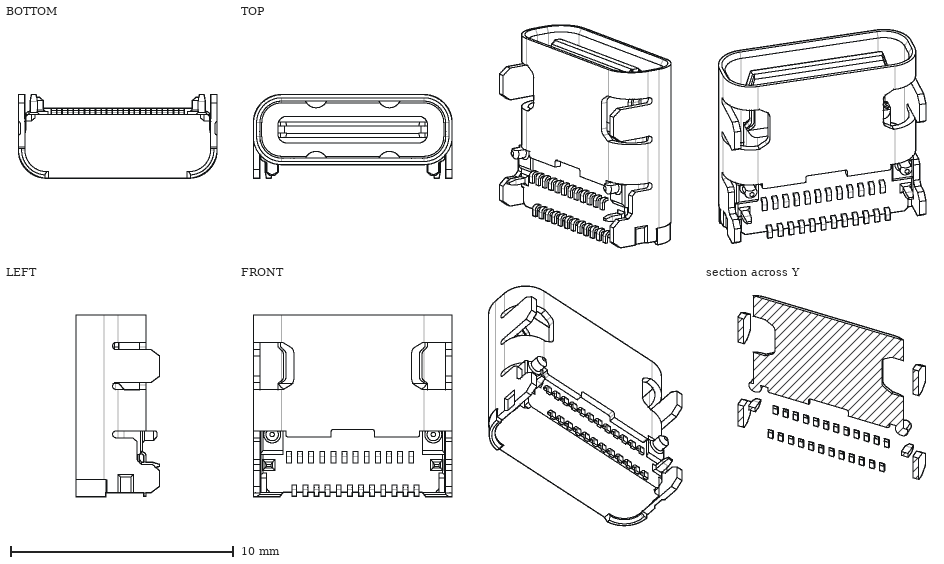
import cadquery as cq
import math

shell_width = 8.94
shell_depth = 3.16
shell_height = 8.17
wall = 0.30
corner_radius = 1.27
mouth_chamfer_width = 0.15
mouth_chamfer_height = 0.25
back_lip_chamfer_height = 0.11

half_width = shell_width / 2
half_depth = shell_depth / 2
inner_half_depth = half_depth - wall
inner_half_width = half_width - wall
foot_tip_y = -2.19

slot_height = 0.31
slot_radius = slot_height / 2
slot_end_y = -0.075
slot_center_y = slot_end_y - slot_radius

upper_foot_bottom = 5.13
upper_foot_top = 6.62
foot_chamfer_y = 0.39
foot_chamfer_z = 0.29
window_bottom = upper_foot_bottom - slot_height
window_top = upper_foot_top + slot_height
window_inner_x = 2.65
window_slant_x = 0.48
window_slant_z = 0.29
window_corner_radius = 0.30

side_bottom = 0.18
tube_end = 2.96
lower_foot_top = tube_end - slot_height
front_panel_half_width = 3.0
front_panel_bottom = 2.69
front_panel_radius = 0.10
front_notch_half_width = 0.97
front_notch_top = 3.03
back_gap_half_width = 3.28
back_gap_slant = 0.16
seam_y = 0.23
seam_width = 0.06
seam_top = 0.75
back_foot_top = 0.78
dimple_center_y = -0.665
dimple_width = 0.68
dimple_top = 1.0
dimple_slope = 0.11
dimple_depth = 0.10

housing_bottom = 0.20
housing_half_width = 4.13
floor_z = 3.5
floor_chamfer = 0.08
floor_notch_x = 1.65
floor_notch_radius = 0.52
floor_notch_y = 1.50
floor_notch_depth = 0.20
housing_corner_chamfer = 0.16
corner_step_x = 3.88
corner_step_y = -1.0
corner_step_top = 1.06
corner_step_slope = 0.21

pad_inner_x = 3.14
pad_y = -1.42
pad_bottom = 1.89
pad_slope = 0.18
front_edge_chamfer = 0.09
peg_x = 3.62
peg_z = 2.80
peg_root_radius = 0.38
peg_radius = 0.28
peg_tip_radius = 0.10
peg_root_length = 0.08
peg_tip_length = 0.16
peg_tip_y = -2.07
key_x = 3.775
key_z = 1.43
key_root_size = (0.55, 0.48)
key_size = (0.33, 0.25)
key_tip_size = (0.22, 0.10)
key_tip_drop = 0.02
key_root_length = 0.10
key_tip_length = 0.31

tongue_tip_z = 7.92
tongue_half_thickness = 0.35
tongue_tip_half_thickness = 0.17
tongue_tip_chamfer_height = 0.15
tongue_tip_half_width = 2.97
tongue_half_width = 3.24
tongue_shoulder_z = 6.95
latch_depth = 0.25
latch_top = 6.74
latch_bottom = 5.10
plate_half_thickness = 0.16
plate_overhang = 0.12
plate_tip_overhang = 0.09
latch_radius = 0.25
latch_lower_slope = 0.18
base_half_width = 3.36
base_half_thickness = 0.60
base_corner_radius = 0.40
base_top = 5.10
base_chamfer_height = 0.28

pin_count = 12
pin_pitch = 0.5
pin_width = 0.22
pin_thickness = 0.11
pin_bend_radius = 0.21
pin_length = 0.505
pin_row_shift = 0.12
upper_pin_top = 2.03
lower_pin_top = 0.53


def box(x0, x1, y0, y1, z0, z1):
    """Box given by its limits along each axis."""
    return cq.Workplane("XY").box(x1 - x0, y1 - y0, z1 - z0, centered=False).translate((x0, y0, z0))


def both_sides(body):
    """The body together with its mirror image across X = 0."""
    return body.union(body.mirror("YZ"))


def rounded_prism(inset, bottom, top):
    """Upright prism with the tube's outline moved inward by an inset."""
    prism = cq.Workplane("XY").workplane(offset=bottom)
    prism = prism.rect(shell_width - 2 * inset, shell_depth - 2 * inset).extrude(top - bottom)
    return prism.edges("|Z").fillet(corner_radius - inset)


def lead_in(end_z, height):
    """Sloped ring removed from the inside of one end of the tube; height is negative at the top end."""
    tilt = math.degrees(math.atan2(mouth_chamfer_width, abs(height)))
    inset = wall - mouth_chamfer_width
    outline = cq.Sketch().rect(shell_width - 2 * inset, shell_depth - 2 * inset)
    outline = outline.vertices().fillet(corner_radius - inset)
    end_plane = cq.Workplane("XY").workplane(offset=end_z)
    return end_plane.placeSketch(outline).extrude(height, taper=tilt)


def slot_end(bottom):
    """Round inner end of a relief slot in the left and right walls."""
    center = (slot_center_y, bottom + slot_radius)
    cutter = cq.Workplane("YZ").workplane(offset=-half_width).center(*center)
    return both_sides(cutter.circle(slot_radius).extrude(wall))


def foot_window():
    """Opening in the front corner of the tube from which the upper foot is bent."""
    outer_x = window_inner_x + window_slant_x
    beyond_x = half_width + wall
    outline = [
        (beyond_x, window_bottom),
        (outer_x, window_bottom),
        (window_inner_x, window_bottom + window_slant_z),
        (window_inner_x, window_top - window_slant_z),
        (outer_x, window_top),
        (beyond_x, window_top),
    ]
    cutter = cq.Workplane("XZ").workplane(offset=-slot_center_y).polyline(outline).close()
    cutter = cutter.extrude(half_depth + slot_center_y + wall)
    cutter = cutter.edges("|Y and <X").fillet(window_corner_radius)
    return both_sides(cutter)


def foot(outline):
    """Pair of flat feet in the planes of the side walls, from a Y-Z outline."""
    plate = cq.Workplane("YZ").workplane(offset=-half_width).polyline(outline).close().extrude(wall)
    return both_sides(plate)


def upper_feet():
    shoulder_y = foot_tip_y + foot_chamfer_y
    return foot([
        (0, upper_foot_bottom),
        (shoulder_y, upper_foot_bottom),
        (foot_tip_y, upper_foot_bottom + foot_chamfer_z),
        (foot_tip_y, upper_foot_top - foot_chamfer_z),
        (shoulder_y, upper_foot_top),
        (0, upper_foot_top),
    ])


def lower_feet():
    waist_y = -1.165
    waist_chamfer_y = 0.185
    waist_chamfer_z = 0.16
    ledge_z = 1.46
    ledge_inner_y = -1.365
    ledge_chamfer = 0.21
    ledge_outer_y = -1.855
    tip_top = 1.175
    shoulder_y = foot_tip_y + foot_chamfer_y
    return foot([
        (0, side_bottom),
        (shoulder_y, side_bottom),
        (foot_tip_y, side_bottom + foot_chamfer_z),
        (foot_tip_y, tip_top),
        (ledge_outer_y, ledge_z),
        (ledge_inner_y, ledge_z),
        (waist_y, ledge_z + ledge_chamfer),
        (waist_y, lower_foot_top - waist_chamfer_z),
        (waist_y + waist_chamfer_y, lower_foot_top),
        (0, lower_foot_top),
    ])


def front_panel():
    """Lower edge of the front wall, with a raised notch in its middle."""
    panel = box(-front_panel_half_width, front_panel_half_width, -half_depth, -inner_half_depth,
                front_panel_bottom, tube_end)
    return panel.edges("|Y and <Z").fillet(front_panel_radius)


def front_notch():
    notch = box(-front_notch_half_width, front_notch_half_width, -half_depth, -inner_half_depth,
                front_panel_bottom, front_notch_top)
    return notch.edges("|Y and >Z").fillet(front_panel_radius)


def back_gap():
    """Gap that leaves only the two back corners of the tube reaching Z = 0."""
    top_half_width = back_gap_half_width - back_gap_slant
    outline = [
        (-back_gap_half_width, 0),
        (back_gap_half_width, 0),
        (top_half_width, housing_bottom),
        (-top_half_width, housing_bottom),
    ]
    return cq.Workplane("XZ").polyline(outline).close().extrude(-half_depth)


def back_foot_relief():
    """Sliver shaved off the back corners, whose bend is gentler below the seam's top."""
    back = box(-half_width, half_width, seam_y, half_depth, 0, back_foot_top)
    gentle_radius = half_depth - seam_y
    gentle = cq.Workplane("XY").rect(shell_width, shell_depth).extrude(back_foot_top)
    return back.cut(gentle.edges("|Z").fillet(gentle_radius))


def side_dimple():
    """Shallow recess with sloped walls at the foot of each side wall."""
    tilt = math.degrees(math.atan2(dimple_slope, dimple_depth))
    height = 2 * (dimple_top - side_bottom)
    recess = cq.Workplane("YZ").workplane(offset=-half_width).center(dimple_center_y, side_bottom)
    return both_sides(recess.rect(dimple_width, height).extrude(dimple_depth, taper=tilt))


def shell():
    tube = rounded_prism(0, 0, shell_height).cut(rounded_prism(wall, 0, shell_height))
    tube = tube.cut(lead_in(shell_height, -mouth_chamfer_height))
    tube = tube.cut(lead_in(0, back_lip_chamfer_height))
    tube = tube.cut(foot_window())
    tube = tube.cut(box(-half_width, half_width, -half_depth, slot_center_y, 0, tube_end))
    for bottom in (lower_foot_top, window_bottom, upper_foot_top):
        tube = tube.cut(slot_end(bottom))
    tube = tube.cut(box(-half_width, half_width, -half_depth, seam_y, 0, side_bottom))
    tube = tube.cut(back_gap())
    tube = tube.union(front_panel()).cut(front_notch())
    tube = tube.union(upper_feet()).union(lower_feet())
    seam = box(-half_width, -inner_half_width, seam_y - seam_width, seam_y, 0, seam_top)
    tube = tube.cut(both_sides(seam)).cut(back_foot_relief())
    return tube.cut(side_dimple())


def corner_step():
    """Notch with a sloped ceiling at each lower front corner of the housing."""
    outline = [
        (-inner_half_depth, housing_bottom),
        (corner_step_y, housing_bottom),
        (corner_step_y, corner_step_top - corner_step_slope),
        (-inner_half_depth, corner_step_top),
    ]
    cutter = cq.Workplane("YZ").workplane(offset=corner_step_x).polyline(outline).close()
    return both_sides(cutter.extrude(inner_half_width - corner_step_x))


def housing():
    core = rounded_prism(wall, housing_bottom, floor_z).faces(">Z").chamfer(floor_chamfer)
    for x in (-floor_notch_x, floor_notch_x):
        for y in (-floor_notch_y, floor_notch_y):
            notch = cq.Workplane("XY").workplane(offset=floor_z - floor_notch_depth).center(x, y)
            core = core.cut(notch.circle(floor_notch_radius).extrude(floor_notch_depth))
    front = box(-housing_half_width, housing_half_width, -inner_half_depth, 0, housing_bottom, tube_end)
    front = front.edges("|Z and <Y").chamfer(front_edge_chamfer).cut(corner_step())
    front = front.edges("|Y").edges("<Y").chamfer(housing_corner_chamfer)
    return core.union(front)


def corner_pads():
    """Raised pad with a sloped lower face at each upper front corner of the housing."""
    outline = [
        (-inner_half_depth, pad_bottom),
        (pad_y, pad_bottom + pad_slope),
        (pad_y, tube_end),
        (0, tube_end),
        (0, pad_bottom),
    ]
    pad = cq.Workplane("YZ").workplane(offset=pad_inner_x).polyline(outline).close()
    pad = pad.extrude(housing_half_width - pad_inner_x)
    return both_sides(pad.edges("|Z and <Y and >X").chamfer(front_edge_chamfer))


def round_pegs():
    """Turned pegs with a flared root and a conical tip, cut flush with the pad's top."""
    outline = [
        (0, pad_y),
        (peg_root_radius, pad_y),
        (peg_radius, pad_y - peg_root_length),
        (peg_radius, peg_tip_y + peg_tip_length),
        (peg_tip_radius, peg_tip_y),
        (0, peg_tip_y),
    ]
    peg = cq.Workplane("XY").polyline(outline).close().revolve(360, (0, 0, 0), (0, 1, 0))
    peg = peg.translate((peg_x, 0, peg_z))
    return both_sides(peg.cut(box(0, half_width, foot_tip_y, 0, tube_end, shell_height)))


def key_section(start_size, end_size, start_y, end_y, drop=0):
    """Straight-sided transition along -Y between two rectangles, the second lowered by a drop."""
    section = cq.Workplane("XZ", origin=(key_x, start_y, key_z)).rect(*start_size)
    return section.workplane(offset=start_y - end_y).center(0, -drop).rect(*end_size).loft(ruled=True)


def square_pegs():
    root_end_y = -inner_half_depth - key_root_length
    tip_start_y = foot_tip_y + key_tip_length
    peg = key_section(key_root_size, key_size, -inner_half_depth, root_end_y)
    peg = peg.union(key_section(key_size, key_size, root_end_y, tip_start_y))
    tip = key_section(key_size, key_tip_size, tip_start_y, foot_tip_y, key_tip_drop)
    return both_sides(peg.union(tip))


def tongue_layer(overhang, tip_half_width, half_thickness):
    """Tongue layer with a tapered tip and a latch notch in each side."""
    shoulder_x = tongue_half_width + overhang
    notch_x = shoulder_x - latch_depth
    right_side = [
        (shoulder_x, floor_z),
        (shoulder_x, latch_bottom),
        (notch_x, latch_bottom + latch_lower_slope),
        (notch_x, latch_top - latch_depth),
        (shoulder_x, latch_top),
        (shoulder_x, tongue_shoulder_z),
        (tip_half_width, tongue_tip_z),
    ]
    left_side = [(-x, z) for x, z in reversed(right_side)]
    layer = cq.Workplane("XZ").polyline(right_side + left_side).close()
    layer = layer.extrude(half_thickness, both=True)
    for x in (-notch_x, notch_x):
        notch_edges = cq.selectors.BoxSelector(
            (x - latch_depth / 2, -half_width, latch_bottom), (x + latch_depth / 2, half_width, latch_top))
        layer = layer.edges("|Y").edges(notch_edges).fillet(latch_radius)
    return layer


def tongue():
    chamfer_z = tongue_tip_z - tongue_tip_chamfer_height
    profile = [
        (-tongue_half_thickness, floor_z),
        (tongue_half_thickness, floor_z),
        (tongue_half_thickness, chamfer_z),
        (tongue_tip_half_thickness, tongue_tip_z),
        (-tongue_tip_half_thickness, tongue_tip_z),
        (-tongue_half_thickness, chamfer_z),
    ]
    wedge = cq.Workplane("YZ").polyline(profile).close().extrude(half_width, both=True)
    blade = tongue_layer(0, tongue_tip_half_width, tongue_half_thickness).intersect(wedge)
    plate_tip_half_width = tongue_tip_half_width + plate_tip_overhang
    return blade.union(tongue_layer(plate_overhang, plate_tip_half_width, plate_half_thickness))


def tongue_base():
    """Thick root of the tongue, sloping up to the blade on its front and back."""
    shoulder_z = base_top - base_chamfer_height
    base = box(-base_half_width, base_half_width, -base_half_thickness, base_half_thickness,
               floor_z, base_top).edges("|Z").fillet(base_corner_radius)
    profile = [
        (-base_half_thickness, floor_z),
        (base_half_thickness, floor_z),
        (base_half_thickness, shoulder_z),
        (tongue_half_thickness, base_top),
        (-tongue_half_thickness, base_top),
        (-base_half_thickness, shoulder_z),
    ]
    roof = cq.Workplane("YZ").polyline(profile).close().extrude(half_width, both=True)
    return base.intersect(roof)


def pin(top):
    """Contact leaving the housing along -Y and bent down with a round outer corner."""
    inner_radius = pin_bend_radius - pin_thickness
    bend_y = -half_depth + pin_bend_radius
    bend_z = top - pin_bend_radius
    diagonal = math.sqrt(0.5)
    outline = cq.Workplane("YZ").moveTo(0, top).lineTo(bend_y, top)
    outline = outline.threePointArc(
        (bend_y - pin_bend_radius * diagonal, bend_z + pin_bend_radius * diagonal), (-half_depth, bend_z))
    outline = outline.lineTo(-half_depth, top - pin_length)
    outline = outline.lineTo(-half_depth + pin_thickness, top - pin_length)
    outline = outline.lineTo(-half_depth + pin_thickness, bend_z)
    outline = outline.threePointArc(
        (bend_y - inner_radius * diagonal, bend_z + inner_radius * diagonal), (bend_y, top - pin_thickness))
    return outline.lineTo(0, top - pin_thickness).close().extrude(pin_width / 2, both=True)


def pin_row(top, shift):
    first_x = shift - pin_pitch * (pin_count - 1) / 2
    row = cq.Workplane("XY")
    for index in range(pin_count):
        row = row.add(pin(top).translate((first_x + index * pin_pitch, 0, 0)))
    return row.combine()


result = shell().union(housing())
result = result.union(corner_pads()).union(round_pegs()).union(square_pegs())
result = result.union(tongue()).union(tongue_base())
result = result.union(pin_row(upper_pin_top, -pin_row_shift))
result = result.union(pin_row(lower_pin_top, pin_row_shift))